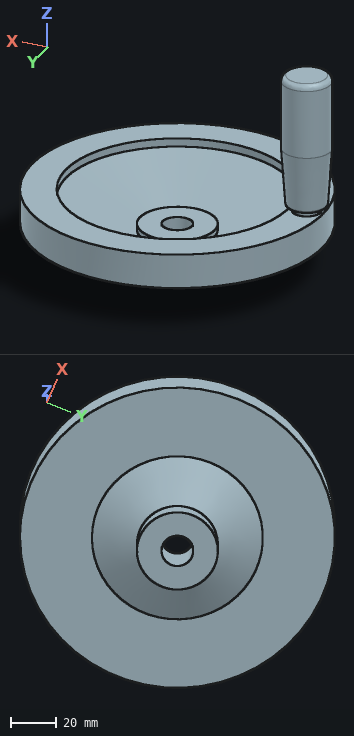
import cadquery as cq
import math

rim_diameter = 140.0
rim_inner_diameter = 107.2
rim_bottom = 19.5
rim_top = 36.0
rim_lip_depth = 4.0
hub_diameter = 36.0
hub_top = 18.9
hub_boss_height = 3.0
bore_diameter = 14.0
cone_bottom = 9.5
cone_outer_diameter = 75.9

overall_length = 143.2
overall_height = 103.5
grip_diameter = 22.9
grip_bottom = 38.5
grip_taper_top = 66.6
grip_end_diameter = 18.9
grip_end_fillet = 1.3
grip_top_fillet = 3.0
dome_radius = 31.5
neck_diameter = 13.2

rim_radius = rim_diameter / 2
rim_inner_radius = rim_inner_diameter / 2
hub_radius = hub_diameter / 2
bore_radius = bore_diameter / 2
grip_radius = grip_diameter / 2
handle_x = rim_radius - overall_length + grip_radius


def make_wheel():
    """Rim, dished conical web and bored hub as one turned body."""
    return (
        cq.Workplane("XZ")
        .moveTo(bore_radius, 0)
        .lineTo(hub_radius, 0)
        .lineTo(hub_radius, cone_bottom)
        .lineTo(cone_outer_diameter / 2, rim_bottom)
        .lineTo(rim_radius, rim_bottom)
        .lineTo(rim_radius, rim_top)
        .lineTo(rim_inner_radius, rim_top)
        .lineTo(rim_inner_radius, rim_top - rim_lip_depth)
        .lineTo(hub_radius, hub_top - hub_boss_height)
        .lineTo(hub_radius, hub_top)
        .lineTo(bore_radius, hub_top)
        .close()
        .revolve(360, (0, 0, 0), (0, 1, 0))
    )


def dome_height_at(radius):
    """Height of the spherical end of the grip at a distance from its axis."""
    return overall_height - dome_radius + math.sqrt(dome_radius**2 - radius**2)


def make_grip():
    """Domed cylinder tapering towards the rim, with both ends rounded."""
    grip = (
        cq.Workplane("XZ")
        .moveTo(0, grip_bottom)
        .lineTo(grip_end_diameter / 2, grip_bottom)
        .lineTo(grip_radius, grip_taper_top)
        .lineTo(grip_radius, dome_height_at(grip_radius))
        .threePointArc((grip_radius / 2, dome_height_at(grip_radius / 2)), (0, overall_height))
        .close()
        .revolve(360, (0, 0, 0), (0, 1, 0))
    )
    dome_rim = cq.NearestToPointSelector((0, 0, dome_height_at(grip_radius)))
    grip = grip.edges(dome_rim).fillet(grip_top_fillet)
    return grip.faces("<Z").edges().fillet(grip_end_fillet)


def make_neck():
    """Round pin joining the grip to the top of the rim."""
    return (
        cq.Workplane("XY", origin=(0, 0, rim_top))
        .circle(neck_diameter / 2)
        .extrude(grip_bottom - rim_top)
    )


handle = make_grip().union(make_neck()).translate((handle_x, 0, 0))
result = make_wheel().union(handle)